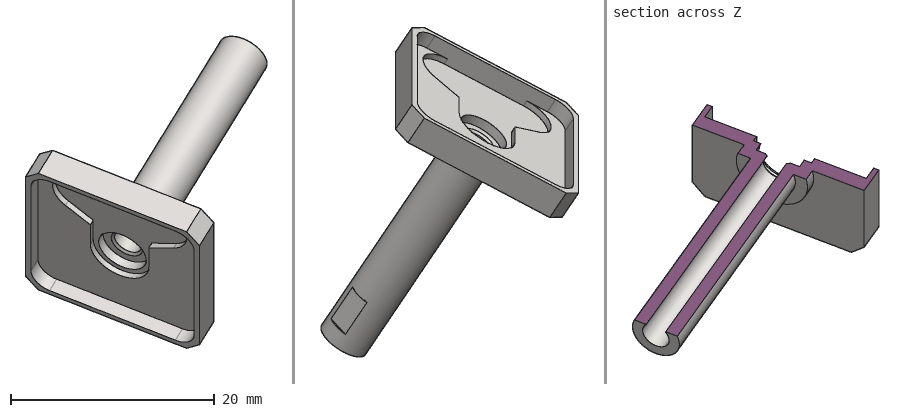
import cadquery as cq
import math

total_length = 29.03
head_size = 19.05
head_thickness = 3.15
head_chamfer = 1.42

rim_width = 0.6
pocket_size = head_size - 2 * rim_width
pocket_depth = 1.57
pocket_corner_radius = 2.03

recess_depth = 0.65
channel_radius = 3.2
lobe_radius = 2.8
lobe_x = 4.53
lobe_z = pocket_size / 2 - lobe_radius
flank_angle = math.radians(30)

shank_z = -1.02
shank_diameter = 5.2
collar_diameter = 7.87
collar_length = 1.3
bore_diameter = 2.93
bore_mouth_diameter = 3.43
counterbore_diameter = 5.2
counterbore_depth = 1.0

flat_length = 4.1
flat_end_gap = 1.75
flat_distance = 2.32
flat_angle = 45.0


def plane_at(y, z=0.0):
    """Plane facing +Y with local x along X and local y along -Z."""
    return cq.Plane(origin=(0, y, z), xDir=(1, 0, 0), normal=(0, 1, 0))


def cylinder(diameter, start, end):
    """Cylinder on the shank axis between two Y positions."""
    return cq.Workplane(plane_at(start, shank_z)).circle(diameter / 2).extrude(end - start)


def make_head():
    head = cq.Workplane(plane_at(0)).rect(head_size, head_size).extrude(head_thickness)
    return head.edges("|Y").chamfer(head_chamfer)


def make_pocket():
    pocket = cq.Workplane(plane_at(0)).rect(pocket_size, pocket_size).extrude(pocket_depth)
    return pocket.edges("|Y").fillet(pocket_corner_radius)


def make_recess():
    tangent_x = lobe_x + lobe_radius * math.sin(flank_angle)
    tangent_z = lobe_z - lobe_radius * math.cos(flank_angle)
    corner_z = tangent_z - (tangent_x - channel_radius) * math.tan(flank_angle)
    top_z = lobe_z + lobe_radius
    lobe_side = lobe_x + lobe_radius

    return (
        cq.Workplane(plane_at(pocket_depth))
        .moveTo(-lobe_x, -top_z)
        .lineTo(lobe_x, -top_z)
        .threePointArc((lobe_side, -lobe_z), (tangent_x, -tangent_z))
        .lineTo(channel_radius, -corner_z)
        .lineTo(channel_radius, -shank_z)
        .threePointArc((0, channel_radius - shank_z), (-channel_radius, -shank_z))
        .lineTo(-channel_radius, -corner_z)
        .lineTo(-tangent_x, -tangent_z)
        .threePointArc((-lobe_side, -lobe_z), (-lobe_x, -top_z))
        .close()
        .extrude(recess_depth)
    )


def make_bore():
    recess_floor = pocket_depth + recess_depth
    shoulder = recess_floor + counterbore_depth
    counterbore = cylinder(counterbore_diameter, recess_floor, shoulder)
    bore = cylinder(bore_diameter, shoulder, total_length)
    mouth_depth = (bore_mouth_diameter - bore_diameter) / 2
    mouth = (
        cq.Workplane(plane_at(shoulder, shank_z))
        .circle(bore_mouth_diameter / 2)
        .workplane(offset=mouth_depth)
        .circle(bore_diameter / 2)
        .loft()
    )
    return counterbore.union(bore).union(mouth)


def make_flat_cutter():
    middle_y = total_length - flat_end_gap - flat_length / 2
    block = cq.Workplane("XY").box(shank_diameter, flat_length, shank_diameter)
    block = block.translate((0, middle_y, -flat_distance - shank_diameter / 2))
    block = block.rotate((0, 0, 0), (0, 1, 0), flat_angle)
    return block.translate((0, 0, shank_z))


collar = cylinder(collar_diameter, head_thickness, head_thickness + collar_length)
shank = cylinder(shank_diameter, head_thickness, total_length)

result = (
    make_head()
    .union(collar)
    .union(shank)
    .cut(make_pocket())
    .cut(make_recess())
    .cut(make_bore())
    .cut(make_flat_cutter())
)